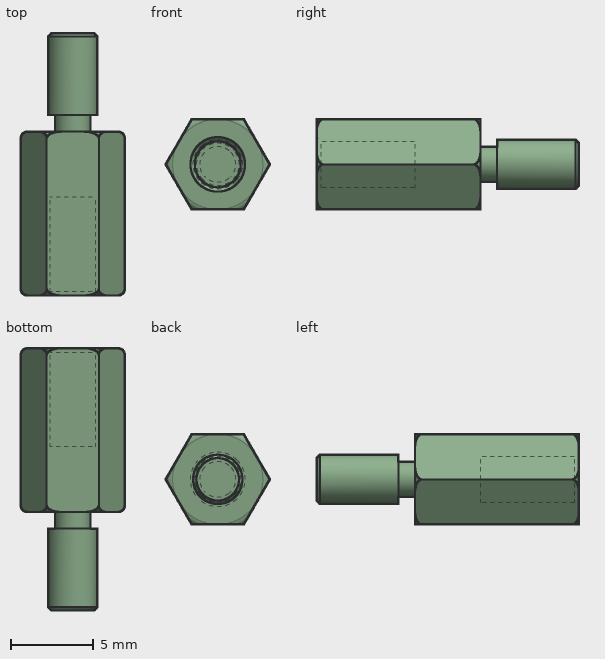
import cadquery as cq
import math

total_length = 16.0
body_length = 10.0
neck_length = 1.0
body_front = -total_length / 2
body_back = body_front + body_length
stud_start = body_back + neck_length
stud_end = total_length / 2

across_flats = 5.5
across_corners = across_flats / math.cos(math.pi / 6)
corner_rounding = (across_corners - across_flats) / 2

stud_diameter = 3.0
neck_diameter = 2.18
stud_chamfer = 0.2

hole_diameter = 2.8
hole_depth = 6.0
countersink_diameter = 3.33
countersink_depth = (countersink_diameter - hole_diameter) / 2


def revolve_about_y(profile):
    """Revolve a closed list of (radius, y) points about the Y axis."""
    return cq.Workplane("XY").polyline(profile).close().revolve(360, (0, 0, 0), (0, 1, 0))


def hex_body():
    """Hexagonal bar with its corners rounded over at both ends."""
    bar = (
        cq.Workplane("XZ", origin=(0, body_back, 0))
        .polygon(6, across_corners)
        .extrude(body_length)
    )
    envelope = (
        cq.Workplane("XZ", origin=(0, body_back, 0))
        .circle(across_corners / 2)
        .extrude(body_length)
        .edges("%CIRCLE")
        .fillet(corner_rounding)
    )
    return bar.intersect(envelope)


def stud():
    """Undercut neck followed by the stud with a chamfered tip."""
    neck_radius = neck_diameter / 2
    stud_radius = stud_diameter / 2
    return revolve_about_y([
        (0, body_back),
        (neck_radius, body_back),
        (neck_radius, stud_start),
        (stud_radius, stud_start),
        (stud_radius, stud_end - stud_chamfer),
        (stud_radius - stud_chamfer, stud_end),
        (0, stud_end),
    ])


def socket():
    """Flat-bottomed blind hole with a countersunk mouth."""
    hole_radius = hole_diameter / 2
    return revolve_about_y([
        (0, body_front),
        (countersink_diameter / 2, body_front),
        (hole_radius, body_front + countersink_depth),
        (hole_radius, body_front + hole_depth),
        (0, body_front + hole_depth),
    ])


result = hex_body().union(stud()).cut(socket())